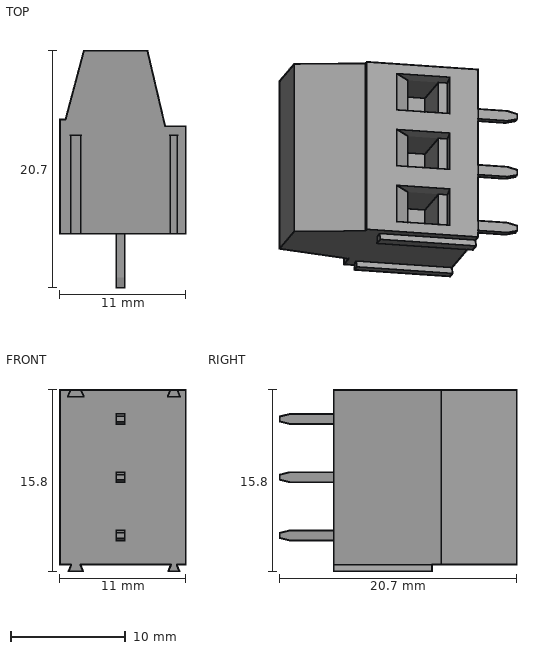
import cadquery as cq


POLE_COUNT = 3
PITCH = 5.08

WIDTH = 11.0
LENGTH = 16.0
HEIGHT = POLE_COUNT * PITCH
ENTRY_SHOULDER_Y = 10.0
ENTRY_SHOULDER_WIDTH = 0.5
BACK_SHOULDER_Y = 9.4
BACK_SHOULDER_WIDTH = 1.8
NARROW_END_START_X = 2.1
NARROW_END_STOP_X = 7.65

DOVETAIL_LENGTH = 8.6
DOVETAIL_DEPTH = 0.6
DOVETAIL_FLARE = 0.25
ENTRY_DOVETAIL_X = 1.4
BACK_DOVETAIL_X = 9.95
ENTRY_SLOT_NECK = 0.9
BACK_SLOT_NECK = 0.6
RAIL_CLEARANCE = 0.1

FUNNEL_BOTTOM_Y = 2.55
FUNNEL_TOP_Y = 7.3
FUNNEL_HEIGHT = 3.3
FUNNEL_DEPTH = 0.9
WIRE_HOLE_SIDE = 2.75
WIRE_HOLE_BOTTOM_Y = 3.35
WIRE_HOLE_TOP_Y = WIRE_HOLE_BOTTOM_Y + WIRE_HOLE_SIDE
WIRE_HOLE_DEPTH = 5.0

PIN_X = 5.3
PIN_WIDTH = 0.75
PIN_HEIGHT = 0.9
PIN_LENGTH = 4.7
PIN_TIP_LENGTH = 0.9
PIN_TIP_HEIGHT = 0.45


def make_housing():
    """Prism with two shoulders and a tapered narrow end."""
    outline = [
        (0, 0),
        (WIDTH, 0),
        (WIDTH, BACK_SHOULDER_Y),
        (WIDTH - BACK_SHOULDER_WIDTH, BACK_SHOULDER_Y),
        (NARROW_END_STOP_X, LENGTH),
        (NARROW_END_START_X, LENGTH),
        (ENTRY_SHOULDER_WIDTH, ENTRY_SHOULDER_Y),
        (0, ENTRY_SHOULDER_Y),
    ]
    return cq.Workplane("XY").polyline(outline).close().extrude(HEIGHT)


def make_dovetail(center_x, neck_width, neck_z):
    """Dovetail bar that widens downwards from its neck, starting at the pin side."""
    neck_half = neck_width / 2
    foot_half = neck_half + DOVETAIL_FLARE
    foot_z = neck_z - DOVETAIL_DEPTH
    profile = [
        (center_x - neck_half, neck_z),
        (center_x + neck_half, neck_z),
        (center_x + foot_half, foot_z),
        (center_x - foot_half, foot_z),
    ]
    return cq.Workplane("XZ").polyline(profile).close().extrude(-DOVETAIL_LENGTH)


def make_wire_entry(pole_z):
    """Cavity of one wire entry; only the funnel side nearest the pins is straight."""
    mouth_length = FUNNEL_TOP_Y - FUNNEL_BOTTOM_Y
    throat_length = WIRE_HOLE_TOP_Y - FUNNEL_BOTTOM_Y
    funnel = (
        cq.Workplane("YZ", origin=(0, FUNNEL_BOTTOM_Y, pole_z))
        .center(mouth_length / 2, 0)
        .rect(mouth_length, FUNNEL_HEIGHT)
        .workplane(offset=FUNNEL_DEPTH)
        .center((throat_length - mouth_length) / 2, 0)
        .rect(throat_length, WIRE_HOLE_SIDE)
        .loft(ruled=True)
    )
    wire_hole = (
        cq.Workplane("YZ", origin=(FUNNEL_DEPTH, WIRE_HOLE_BOTTOM_Y, pole_z))
        .center(WIRE_HOLE_SIDE / 2, 0)
        .rect(WIRE_HOLE_SIDE, WIRE_HOLE_SIDE)
        .extrude(WIRE_HOLE_DEPTH)
    )
    return funnel.union(wire_hole)


def make_pin(pole_z):
    """Flat solder pin whose tip tapers in Z only."""
    half_height = PIN_HEIGHT / 2
    half_tip = PIN_TIP_HEIGHT / 2
    taper_start_y = PIN_TIP_LENGTH - PIN_LENGTH
    profile = [
        (0, half_height),
        (taper_start_y, half_height),
        (-PIN_LENGTH, half_tip),
        (-PIN_LENGTH, -half_tip),
        (taper_start_y, -half_height),
        (0, -half_height),
    ]
    plane = cq.Workplane("YZ", origin=(PIN_X, 0, pole_z))
    return plane.polyline(profile).close().extrude(PIN_WIDTH / 2, both=True)


result = make_housing()

for dovetail_x, slot_neck in (
    (ENTRY_DOVETAIL_X, ENTRY_SLOT_NECK),
    (BACK_DOVETAIL_X, BACK_SLOT_NECK),
):
    result = result.cut(make_dovetail(dovetail_x, slot_neck, HEIGHT))
    result = result.union(make_dovetail(dovetail_x, slot_neck - RAIL_CLEARANCE, 0))

for pole in range(POLE_COUNT):
    pole_center_z = (pole + 0.5) * PITCH
    result = result.cut(make_wire_entry(pole_center_z))
    result = result.union(make_pin(pole_center_z))